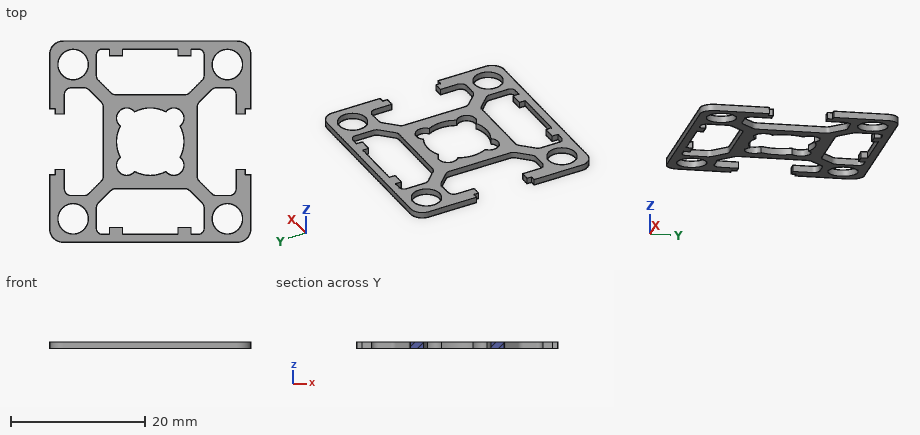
import cadquery as cq
import math


side = 30.0
thickness = 1.0
corner_radius = 2.0
half_side = side / 2

core_half = 7.02
web_width = 2.0
web_offset = web_width / math.sqrt(2)

channel_diameter = 4.5
channel_position = 11.5

cavity_half_width = 8.0
web_fillet = 1.0

chamber_wall = 1.23
chamber_fillet = 0.8
tab_width = 1.98
tab_height = 1.0
tab_position = 5.1

lip_thickness = 2.22
slot_fillet = 1.0
mouth_half = 4.1
lip_step_depth = 0.8
lip_step_half = 4.9

bore_radius = 5.0
lobe_radius = 1.5
lobe_position = bore_radius - lobe_radius


def bar(x_min, x_max, y_min, y_max):
    """Upright block of full thickness between the given limits."""
    return (
        cq.Workplane("XY")
        .center((x_min + x_max) / 2, (y_min + y_max) / 2)
        .rect(x_max - x_min, y_max - y_min)
        .extrude(thickness)
    )


def cavity(outer_end, outer_fillet):
    """Cavity on the +Y side, from the core face to outer_end, between two diagonal webs."""
    web_start_x = core_half - web_offset
    web_end_y = cavity_half_width + web_offset
    shape = (
        cq.Workplane("XY")
        .polyline([
            (web_start_x, core_half),
            (cavity_half_width, web_end_y),
            (cavity_half_width, outer_end),
            (-cavity_half_width, outer_end),
            (-cavity_half_width, web_end_y),
            (-web_start_x, core_half),
        ])
        .close()
        .extrude(thickness)
    )
    shape = shape.edges("|Z").edges("not >Y").fillet(web_fillet)
    return shape.edges("|Z and >Y").fillet(outer_fillet)


def closed_chamber():
    """Chamber on the +Y side with two tabs left standing on its outer wall."""
    outer_end = half_side - chamber_wall
    chamber = cavity(outer_end, chamber_fillet)
    for x in (-tab_position, tab_position):
        tab = bar(x - tab_width / 2, x + tab_width / 2, outer_end - tab_height, outer_end)
        chamber = chamber.cut(tab)
    return chamber


def open_slot():
    """Slot on the +Y side whose mouth widens in a step at the outer face."""
    outer_end = half_side - lip_thickness
    mouth = bar(-mouth_half, mouth_half, core_half, half_side)
    step = bar(-lip_step_half, lip_step_half, half_side - lip_step_depth, half_side)
    return cavity(outer_end, slot_fillet).union(mouth).union(step)


def lobed_bore():
    """Round bore joined by a smaller round lobe in each diagonal direction."""
    lobes = (
        cq.Workplane("XY")
        .rect(2 * lobe_position, 2 * lobe_position, forConstruction=True)
        .vertices()
        .circle(lobe_radius)
        .extrude(thickness)
    )
    return cq.Workplane("XY").circle(bore_radius).extrude(thickness).union(lobes)


def corner_channels():
    """Four round screw channels, one near each corner."""
    return (
        cq.Workplane("XY")
        .rect(2 * channel_position, 2 * channel_position, forConstruction=True)
        .vertices()
        .circle(channel_diameter / 2)
        .extrude(thickness)
    )


def turned(shape, angle):
    """Shape rotated about the profile's central axis."""
    return shape.rotate((0, 0, 0), (0, 0, 1), angle)


body = cq.Workplane("XY").rect(side, side).extrude(thickness)
body = body.edges("|Z").fillet(corner_radius)
body = body.cut(corner_channels()).cut(lobed_bore())
for angle in (0, 180):
    body = body.cut(turned(closed_chamber(), angle))
for angle in (90, 270):
    body = body.cut(turned(open_slot(), angle))

result = body